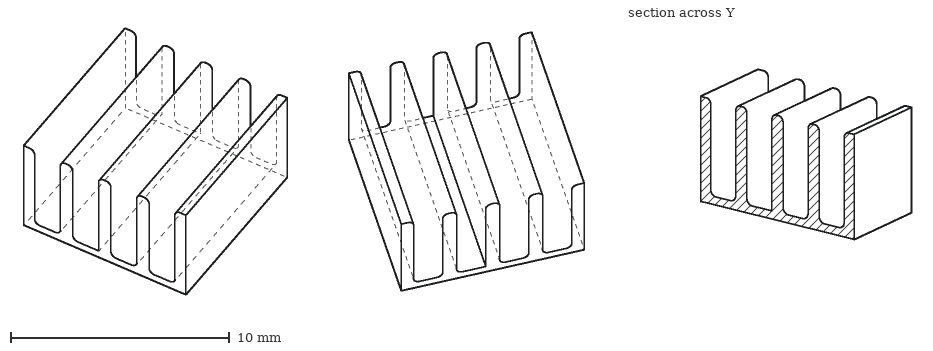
import cadquery as cq

width = 8.69
length = 8.92
height = 5.13
base_thickness = 0.42
channel_width = 1.38
fin_pitch = 2.04
channel_count = 4
edge_radius = 0.285

sharp_channel = 1

first_channel_x = -fin_pitch * (channel_count - 1) / 2


def make_channel(center_x, sharp_right_root):
    """Return the full-length cutter for one channel, rounded at its roots and flared at its mouth."""
    left = center_x - channel_width / 2
    right = center_x + channel_width / 2
    r = edge_radius

    outline = cq.Workplane("XZ", origin=(0, -length / 2, 0)).moveTo(left - r, height)
    outline = outline.radiusArc((left, height - r), r)
    outline = outline.lineTo(left, base_thickness + r)
    outline = outline.radiusArc((left + r, base_thickness), -r)
    if sharp_right_root:
        outline = outline.lineTo(right, base_thickness)
    else:
        outline = outline.lineTo(right - r, base_thickness)
        outline = outline.radiusArc((right, base_thickness + r), -r)
    outline = outline.lineTo(right, height - r)
    outline = outline.radiusArc((right + r, height), r)
    return outline.close().extrude(-length)


result = cq.Workplane("XY").box(width, length, height, centered=(True, True, False))

for index in range(channel_count):
    channel_x = first_channel_x + index * fin_pitch
    result = result.cut(make_channel(channel_x, index == sharp_channel))